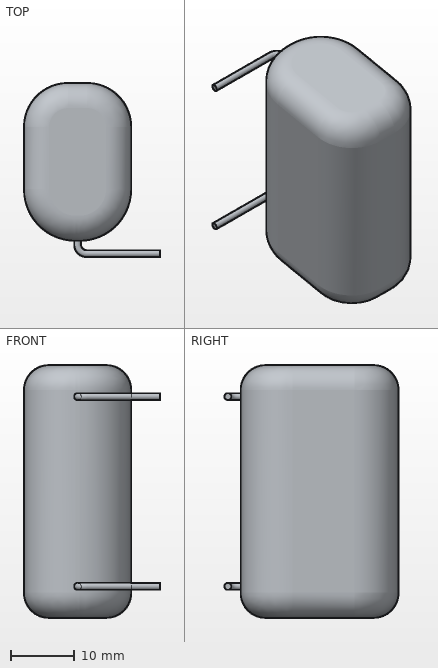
import cadquery as cq

HOUSING_WIDTH = 17.0
HOUSING_DEPTH = 25.0
HOUSING_HEIGHT = 40.0
BACK_CORNER_RADIUS = 7.0
FRONT_CORNER_RADIUS = 8.2
END_FILLET_RADIUS = 4.0

LEAD_DIAMETER = 1.1
LEAD_PITCH = 30.0
LEAD_STANDOFF = 2.0
LEAD_BEND_RADIUS = 1.45
OVERALL_WIDTH = 21.55

FRONT_Y = -HOUSING_DEPTH / 2
LEAD_TIP_X = OVERALL_WIDTH - HOUSING_WIDTH / 2


def make_housing():
    """Block with rounded vertical corners and rounded top and bottom rims."""
    block = cq.Workplane("XY").box(HOUSING_WIDTH, HOUSING_DEPTH, HOUSING_HEIGHT)
    block = block.edges("|Z and >Y").fillet(BACK_CORNER_RADIUS)
    block = block.edges("|Z and <Y").fillet(FRONT_CORNER_RADIUS)
    return block.faces("<Z or >Z").edges().fillet(END_FILLET_RADIUS)


def make_lead(height):
    """Round wire: short stub out of the front face, quarter bend, long leg along +X."""
    leg_y = FRONT_Y - LEAD_STANDOFF
    centreline = (
        cq.Workplane("XY", origin=(0, 0, height))
        .moveTo(0, FRONT_Y)
        .lineTo(0, leg_y + LEAD_BEND_RADIUS)
        .tangentArcPoint((LEAD_BEND_RADIUS, leg_y), relative=False)
        .lineTo(LEAD_TIP_X, leg_y)
    )
    wire_section = cq.Workplane("XZ", origin=(0, FRONT_Y, height)).circle(LEAD_DIAMETER / 2)
    return wire_section.sweep(centreline)


housing = make_housing()
leads = [make_lead(side * LEAD_PITCH / 2) for side in (-1, 1)]

result = cq.Compound.makeCompound([housing.val(), *[lead.val() for lead in leads]])